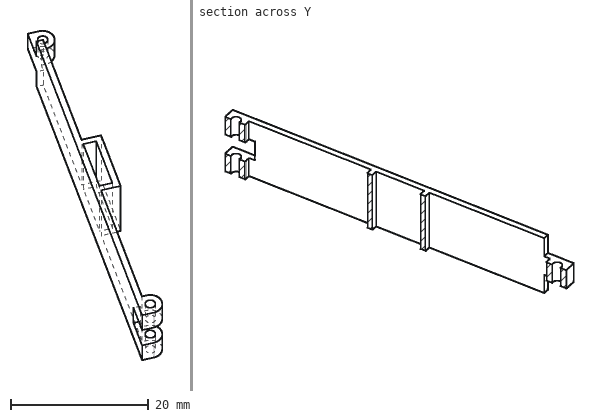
import cadquery as cq

length = 59.5
height = 10.0
plate_thickness = 1.0

knuckle_diameter = 3.5
knuckle_radius = knuckle_diameter / 2
pin_diameter = 1.5
hinge_depth = 4.5
tongue_height = 3.4
slot_height = 3.4

loop_width = 10.2
loop_center_x = 29.65
loop_top_y = 4.0
loop_side_wall = 0.9
loop_back_wall = 1.0

mid_z = height / 2


def block(x_start, x_end, y_start, y_end, block_height):
    """Box between the given X and Y limits, centred on the mid height."""
    return (
        cq.Workplane("XY")
        .box(x_end - x_start, y_end - y_start, block_height, centered=(False, False, True))
        .translate((x_start, y_start, mid_z))
    )


def knuckle(center_x):
    """Full-height round-backed knuckle with a flat front flush with the plate."""
    return (
        cq.Workplane("XY")
        .moveTo(center_x - knuckle_radius, 0)
        .lineTo(center_x + knuckle_radius, 0)
        .lineTo(center_x + knuckle_radius, knuckle_radius)
        .threePointArc((center_x, knuckle_diameter), (center_x - knuckle_radius, knuckle_radius))
        .close()
        .extrude(height)
    )


def strap_loop():
    """Rectangular loop, open along Z, closed at the front by the plate."""
    left = loop_center_x - loop_width / 2
    right = loop_center_x + loop_width / 2
    outer = block(left, right, 0, loop_top_y, height)
    opening = block(
        left + loop_side_wall,
        right - loop_side_wall,
        plate_thickness,
        loop_top_y - loop_back_wall,
        height,
    )
    return outer.cut(opening)


knuckle_centers = [knuckle_radius, length - knuckle_radius]

link = block(0, length, 0, plate_thickness, height).union(strap_loop())
for center_x in knuckle_centers:
    link = link.union(knuckle(center_x))

tongue = block(0, hinge_depth, 0, knuckle_diameter, tongue_height)
tongue_trim = block(0, hinge_depth, 0, knuckle_diameter, height).cut(tongue)
link = link.cut(tongue_trim)

link = link.cut(block(length - hinge_depth, length, 0, knuckle_diameter, slot_height))

pins = (
    cq.Workplane("XY")
    .pushPoints([(center_x, knuckle_radius) for center_x in knuckle_centers])
    .circle(pin_diameter / 2)
    .extrude(height)
)
result = link.cut(pins)